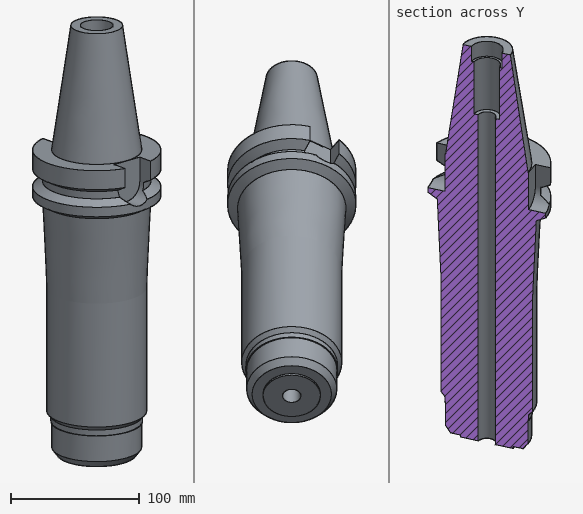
import cadquery as cq

total_length = 354.2
boss_height = 1.8
nose_chamfer_top = 7.5
collar_bottom = 28.7
collar_top = 33.5
body_bottom = 37.2
body_top = 138.5
neck_top = 209.7
flange_bottom = 214.0
groove_bottom_edge = 221.7
groove_bottom = 226.0
groove_top = 232.0
groove_top_edge = 236.3
flange_top = 252.0
gauge_level = 252.5

boss_radius = 22.3
nose_face_radius = 30.8
nose_radius = 35.0
collar_radius = 35.8
body_radius = 39.0
neck_radius = 42.0
flange_radius = 50.0
groove_radius = 42.0
taper_large_radius = 35.0
taper_small_radius = 20.2

slot_width = 26.5
slot_floor_distance = 35.5
slot_depth = 33.3

through_radius = 7.0
thread_radius = 10.5
thread_depth = 60.2
entry_radius = 12.8
entry_depth = 13.5


def turned_body():
    """Solid of revolution: nose, gripping body, grooved flange and steep taper."""
    outline = [
        (0, 0),
        (boss_radius, 0),
        (boss_radius, boss_height),
        (nose_face_radius, boss_height),
        (nose_radius, nose_chamfer_top),
        (nose_radius, collar_bottom),
        (collar_radius, collar_bottom),
        (collar_radius, collar_top),
        (body_radius, body_bottom),
        (body_radius, body_top),
        (neck_radius, neck_top),
        (flange_radius, flange_bottom),
        (flange_radius, groove_bottom_edge),
        (groove_radius, groove_bottom),
        (groove_radius, groove_top),
        (flange_radius, groove_top_edge),
        (flange_radius, flange_top),
        (taper_large_radius, flange_top),
        (taper_large_radius, gauge_level),
        (taper_small_radius, total_length),
        (0, total_length),
    ]
    return cq.Workplane("XZ").polyline(outline).close().revolve(360, (0, 0), (0, 1))


def drive_slot(side):
    """Round-bottomed slot cutter, open at the flange top; side is +1 or -1 along X."""
    end_radius = slot_width / 2
    slot_bottom = flange_top - slot_depth
    arc_level = slot_bottom + end_radius
    cut_length = flange_radius - slot_floor_distance
    return (
        cq.Workplane("YZ", origin=(side * slot_floor_distance, 0, 0))
        .moveTo(-end_radius, flange_top)
        .lineTo(-end_radius, arc_level)
        .threePointArc((0, slot_bottom), (end_radius, arc_level))
        .lineTo(end_radius, flange_top)
        .close()
        .extrude(side * cut_length)
    )


def bore(radius, depth):
    """Cylindrical cutter reaching down from the small end of the taper."""
    return cq.Workplane("XY", origin=(0, 0, total_length)).circle(radius).extrude(-depth)


result = turned_body()
for side in (-1, 1):
    result = result.cut(drive_slot(side))
for radius, depth in (
    (through_radius, total_length),
    (thread_radius, thread_depth),
    (entry_radius, entry_depth),
):
    result = result.cut(bore(radius, depth))